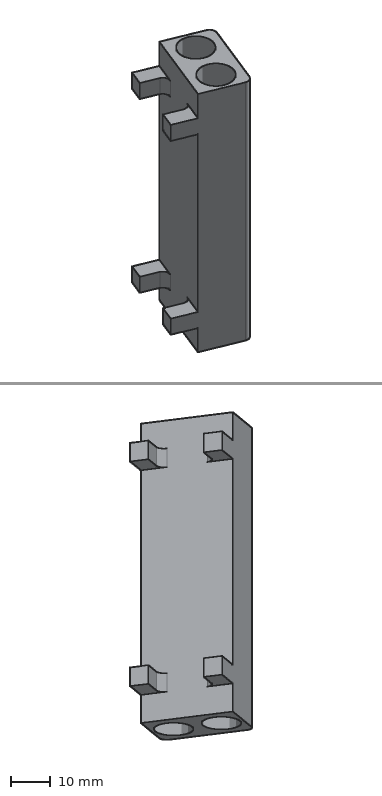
import cadquery as cq

body_width = 25.0
body_depth = 15.0
body_height = 80.0
back_edge_radius = 2.0

bore_diameter = 10.0
bore_spacing = 13.0

leg_size = 5.0
leg_length = 7.5
leg_end_margin = 7.5
leg_root_radius = 2.0


def make_body():
    block = cq.Workplane("XY").box(
        body_width, body_depth, body_height, centered=(True, False, False)
    )
    block = block.edges("|Z and >Y").fillet(back_edge_radius)
    bore_centres = [(-bore_spacing / 2, body_depth / 2), (bore_spacing / 2, body_depth / 2)]
    bores = (
        cq.Workplane("XY")
        .pushPoints(bore_centres)
        .circle(bore_diameter / 2)
        .extrude(body_height)
    )
    return block.cut(bores)


def make_leg(side, bottom):
    """Leg on the -X (side = -1) or +X (side = 1) edge, with a rounded inner root."""
    outer_x = side * body_width / 2
    inner_x = outer_x - side * leg_size
    root_x = inner_x - side * leg_root_radius
    arc_offset = leg_root_radius * 0.5**0.5
    arc_middle = (root_x + side * arc_offset, arc_offset - leg_root_radius)
    return (
        cq.Workplane("XY", origin=(0, 0, bottom))
        .moveTo(outer_x, 0)
        .lineTo(outer_x, -leg_length)
        .lineTo(inner_x, -leg_length)
        .lineTo(inner_x, -leg_root_radius)
        .threePointArc(arc_middle, (root_x, 0))
        .close()
        .extrude(leg_size)
    )


lower_leg_bottom = leg_end_margin
upper_leg_bottom = body_height - leg_end_margin - leg_size

result = make_body()
for leg_bottom in (lower_leg_bottom, upper_leg_bottom):
    for leg_side in (-1, 1):
        result = result.union(make_leg(leg_side, leg_bottom))